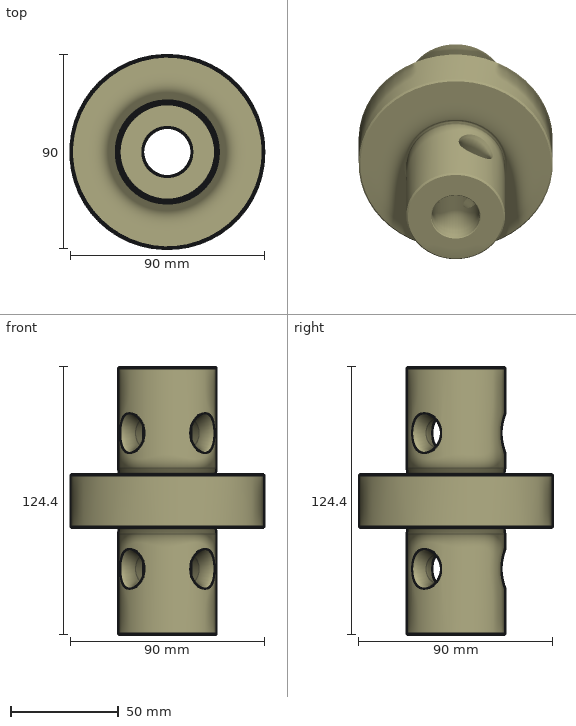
import cadquery as cq
import math

total_length = 124.4
shaft_radius = 22.9
flange_diameter = 90.0
flange_thickness = 25.0
bore_radius = 11.2
outer_chamfer = 0.7
bore_chamfer = 0.4

relief_length = 2.7
relief_depth = 0.4
relief_face_width = 1.0
relief_face_depth = 0.2
relief_corner_radius = 0.6

hole_angles = (90, 220, 320)
hole_offset = 31.5
mouth_radius = 9.2
throat_radius = 6.6
throat_position = 13.7
cone_overshoot = 1.2

half_length = total_length / 2
half_flange = flange_thickness / 2


def disc(radius, height):
    """Cylinder on the Z axis, centred on the flange mid-plane."""
    return cq.Workplane("XY", origin=(0, 0, -height / 2)).circle(radius).extrude(height)


def make_body():
    """Turned body: flange in the middle of a bored shaft, all sharp rims chamfered."""
    flange = disc(flange_diameter / 2, flange_thickness).faces("|Z").chamfer(outer_chamfer)
    shaft = disc(shaft_radius, total_length).faces("|Z").chamfer(outer_chamfer)
    bore = disc(bore_radius, total_length)
    return flange.union(shaft).cut(bore)


def make_upper_relief():
    """Ring that undercuts both the shaft and the flange face, with a round corner."""
    neck_radius = shaft_radius - relief_depth
    outer_radius = shaft_radius + relief_face_width
    floor = half_flange - relief_face_depth
    top = half_flange + relief_length
    arc_inset = relief_corner_radius * (1 - math.sqrt(0.5))
    return (
        cq.Workplane("XZ")
        .moveTo(shaft_radius, top)
        .lineTo(neck_radius, floor + relief_corner_radius)
        .threePointArc(
            (neck_radius + arc_inset, floor + arc_inset),
            (neck_radius + relief_corner_radius, floor),
        )
        .lineTo(outer_radius, half_flange)
        .lineTo(shaft_radius, half_flange)
        .close()
        .revolve(360, (0, 0, 0), (0, 1, 0))
    )


def make_upper_bore_chamfer():
    """Conical cutter for the chamfer at the upper mouth of the bore."""
    rim_radius = bore_radius + bore_chamfer
    return (
        cq.Workplane("XZ")
        .moveTo(0, half_length - rim_radius)
        .lineTo(rim_radius, half_length)
        .lineTo(0, half_length)
        .close()
        .revolve(360, (0, 0, 0), (0, 1, 0))
    )


def make_radial_hole(angle, height):
    """Hole from the bore outward: a straight throat that flares to a cone."""
    slope = (mouth_radius - throat_radius) / (shaft_radius - throat_position)
    cone_end = shaft_radius + cone_overshoot
    return (
        cq.Workplane("XY")
        .lineTo(0, throat_radius)
        .lineTo(throat_position, throat_radius)
        .lineTo(cone_end, mouth_radius + slope * cone_overshoot)
        .lineTo(cone_end, 0)
        .close()
        .revolve(360, (0, 0, 0), (1, 0, 0))
        .rotate((0, 0, 0), (0, 0, 1), angle)
        .translate((0, 0, height))
    )


result = make_body()
for cutter in (make_upper_relief(), make_upper_bore_chamfer()):
    result = result.cut(cutter).cut(cutter.mirror("XY"))
for angle in hole_angles:
    for height in (-hole_offset, hole_offset):
        result = result.cut(make_radial_hole(angle, height))